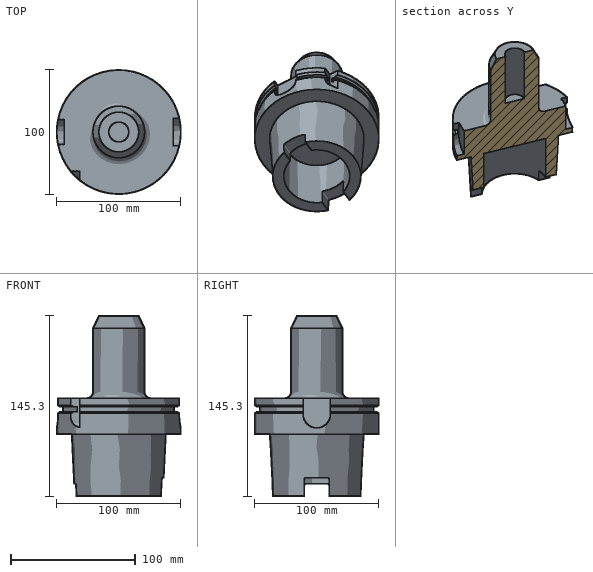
import cadquery as cq


FLANGE_RADIUS = 50.0
FLANGE_HEIGHT = 29.0

GROOVE_MID_Z = 20.0
GROOVE_FLOOR_RADIUS = 46.0
GROOVE_INNER_WIDTH = 3.8
GROOVE_MOUTH_WIDTH = 6.8
GROOVE_CHAMFER_DEPTH = 1.8

TOP_Z = 95.25
NOSE_RADIUS = 20.8
NOSE_TIP_RADIUS = 16.0
NOSE_TIP_HEIGHT = 10.0
NOSE_FILLET = 5.0
TOOL_BORE_DIAMETER = 16.0
TOOL_BORE_DEPTH = 3 * TOOL_BORE_DIAMETER

SHANK_LENGTH = 50.0
SHANK_TOP_RADIUS = 38.0
SHANK_END_RADIUS = 35.5
SHANK_BORE_DIAMETER = 53.0

DRIVE_SLOT_WIDTH = 20.0
DRIVE_SLOT_CORNER = 1.5
SHALLOW_DRIVE_SLOT_DEPTH = 10.0
DEEP_DRIVE_SLOT_DEPTH = 15.0

FLANGE_SLOT_BOTTOM_Z = 5.0
KEYWAY_FLOOR_DISTANCE = 44.0
NARROW_KEYWAY_WIDTH = 20.0
WIDE_KEYWAY_WIDTH = 22.0
NOTCH_WIDTH = 20.0
NOTCH_WALL_DISTANCE = 31.5


def turned_body():
    """Revolve the half profile of nose, flange and shank."""
    chamfer_radius = FLANGE_RADIUS - GROOVE_CHAMFER_DEPTH
    inner_half = GROOVE_INNER_WIDTH / 2
    mouth_half = GROOVE_MOUTH_WIDTH / 2
    fillet_top_z = FLANGE_HEIGHT + NOSE_FILLET
    profile = (
        cq.Workplane("XZ")
        .moveTo(0, -SHANK_LENGTH)
        .lineTo(SHANK_END_RADIUS, -SHANK_LENGTH)
        .lineTo(SHANK_TOP_RADIUS, 0)
        .lineTo(FLANGE_RADIUS, 0)
        .lineTo(FLANGE_RADIUS, GROOVE_MID_Z - mouth_half)
        .lineTo(chamfer_radius, GROOVE_MID_Z - inner_half)
        .lineTo(GROOVE_FLOOR_RADIUS, GROOVE_MID_Z - inner_half)
        .lineTo(GROOVE_FLOOR_RADIUS, GROOVE_MID_Z + inner_half)
        .lineTo(chamfer_radius, GROOVE_MID_Z + inner_half)
        .lineTo(FLANGE_RADIUS, GROOVE_MID_Z + mouth_half)
        .lineTo(FLANGE_RADIUS, FLANGE_HEIGHT)
        .lineTo(NOSE_RADIUS + NOSE_FILLET, FLANGE_HEIGHT)
        .radiusArc((NOSE_RADIUS, fillet_top_z), NOSE_FILLET)
        .lineTo(NOSE_RADIUS, TOP_Z - NOSE_TIP_HEIGHT)
        .lineTo(NOSE_TIP_RADIUS, TOP_Z)
        .lineTo(0, TOP_Z)
        .close()
    )
    return profile.revolve(360, (0, 0, 0), (0, 1, 0))


def tool_bore():
    """Blind bore from the nose tip."""
    floor_z = TOP_Z - TOOL_BORE_DEPTH
    floor_plane = cq.Workplane("XY").workplane(offset=floor_z)
    return floor_plane.circle(TOOL_BORE_DIAMETER / 2).extrude(TOOL_BORE_DEPTH)


def shank_bore():
    """Hollow of the shank, open at its lower end and ending level with the flange underside."""
    return cq.Workplane("XY").circle(SHANK_BORE_DIAMETER / 2).extrude(-SHANK_LENGTH)


def drive_slot(side, depth):
    """Slot through one wall of the shank; side is +1 for the +X wall and -1 for the -X wall."""
    return (
        cq.Workplane("XY")
        .box(SHANK_TOP_RADIUS, DRIVE_SLOT_WIDTH, depth, centered=(False, True, False))
        .edges("|X and >Z")
        .fillet(DRIVE_SLOT_CORNER)
        .translate((min(side, 0) * SHANK_TOP_RADIUS, 0, -SHANK_LENGTH))
    )


def flange_slot(side, wall_distance, width, center_y=0.0):
    """Slot with a half-round bottom, cut along X from its flat end wall out past the flange rim."""
    radius = width / 2
    center_z = FLANGE_SLOT_BOTTOM_Z + radius
    profile = (
        cq.Workplane("YZ")
        .workplane(offset=side * wall_distance)
        .moveTo(center_y - radius, FLANGE_HEIGHT)
        .lineTo(center_y - radius, center_z)
        .threePointArc((center_y, FLANGE_SLOT_BOTTOM_Z), (center_y + radius, center_z))
        .lineTo(center_y + radius, FLANGE_HEIGHT)
        .close()
    )
    return profile.extrude(side * (FLANGE_RADIUS - wall_distance))


notch_center_y = -(NOTCH_WALL_DISTANCE + NOTCH_WIDTH / 2)

cutters = [
    tool_bore(),
    shank_bore(),
    drive_slot(-1, SHALLOW_DRIVE_SLOT_DEPTH),
    drive_slot(1, DEEP_DRIVE_SLOT_DEPTH),
    flange_slot(-1, KEYWAY_FLOOR_DISTANCE, NARROW_KEYWAY_WIDTH),
    flange_slot(1, KEYWAY_FLOOR_DISTANCE, WIDE_KEYWAY_WIDTH),
    flange_slot(-1, NOTCH_WALL_DISTANCE, NOTCH_WIDTH, notch_center_y),
]

result = turned_body()
for cutter in cutters:
    result = result.cut(cutter)